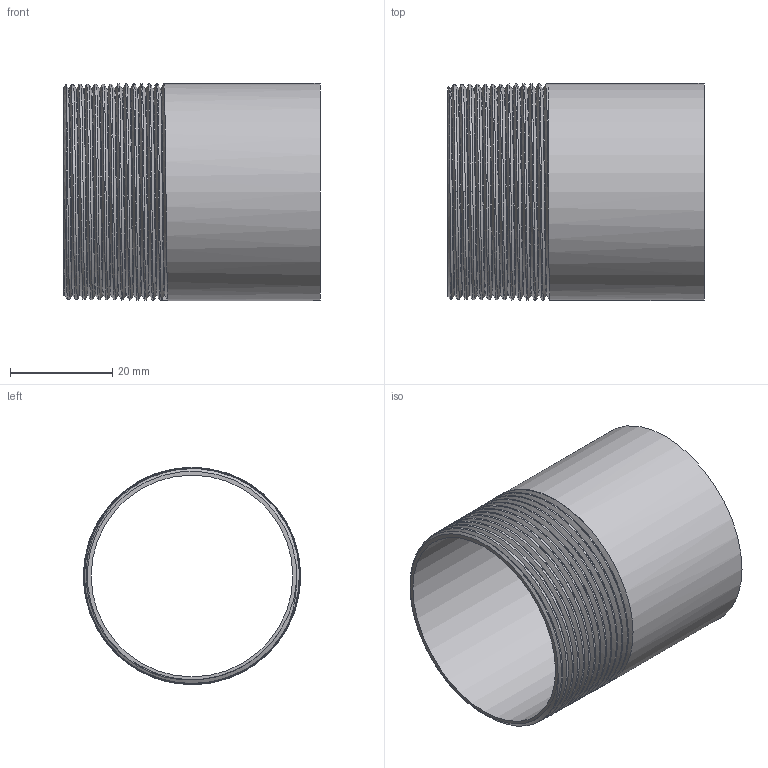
import cadquery as cq
import math

length = 50.0
outer_diameter = 42.4
wall = 1.5
outer_radius = outer_diameter / 2
bore_radius = outer_radius - wall

pitch = 1.5
thread_end = 19.65
turns = 14
thread_start = thread_end - turns * pitch
flank_angle = math.radians(30)
crest_width = pitch / 7
root_width = pitch / 8
groove_width = pitch - crest_width
groove_depth = (groove_width - root_width) / 2 / math.tan(flank_angle)
root_radius = outer_radius - groove_depth

crest_drop = 0.22
tip_crest_radius = outer_radius - crest_drop
chamfer_radial = 0.75
chamfer_axial = 0.4
chamfer_radius = outer_radius - chamfer_radial

cutter_overhang = 0.1
cutter_radius = outer_radius + cutter_overhang
cutter_width = groove_width + 2 * cutter_overhang * math.tan(flank_angle)


def pipe():
    """Tube with a chamfered tip and tapered crests over the threaded stretch."""
    return (
        cq.Workplane("XZ")
        .moveTo(0, bore_radius)
        .lineTo(0, chamfer_radius)
        .lineTo(chamfer_axial, tip_crest_radius)
        .lineTo(thread_end, outer_radius)
        .lineTo(length, outer_radius)
        .lineTo(length, bore_radius)
        .close()
        .revolve(360, (0, 0, 0), (1, 0, 0))
    )


def thread_groove():
    """Helical V groove with a narrow flat root; both its ends lie on the -Z side."""
    helix = cq.Wire.makeHelix(pitch, turns * pitch, outer_radius)
    groove = (
        cq.Workplane("XZ")
        .moveTo(root_radius, -root_width / 2)
        .lineTo(cutter_radius, -cutter_width / 2)
        .lineTo(cutter_radius, cutter_width / 2)
        .lineTo(root_radius, root_width / 2)
        .close()
        .sweep(cq.Workplane(obj=helix), isFrenet=True)
    )
    return groove.rotate((0, 0, 0), (0, 1, 0), 90).translate((thread_start, 0, 0))


result = pipe().cut(thread_groove())